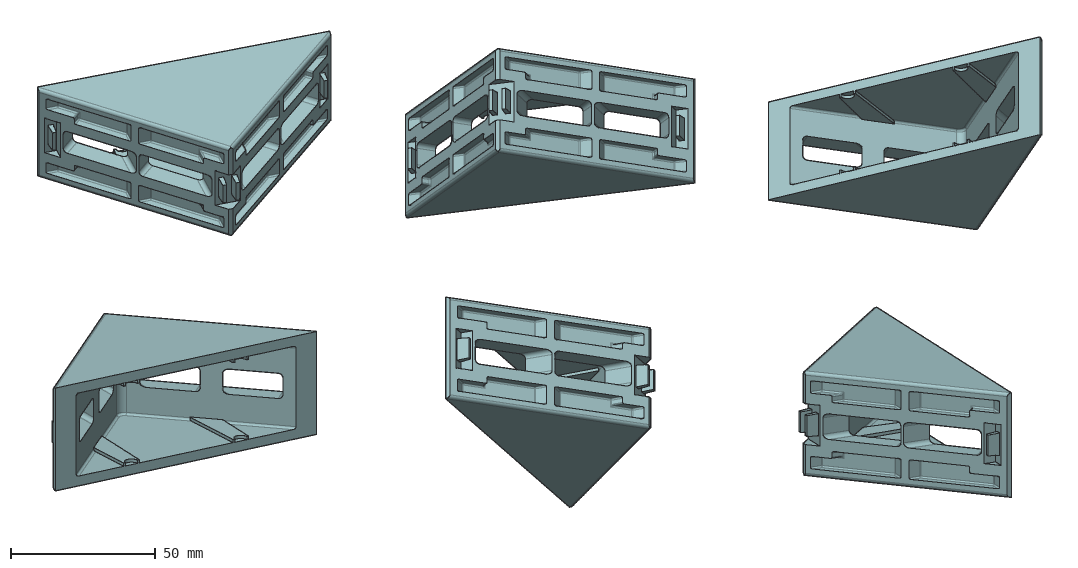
import cadquery as cq
import math

LEG = 76.1
HEIGHT = 38.0
EDGE_ROUND = 1.2
HYPOTENUSE = LEG + EDGE_ROUND
MIRROR_NORMAL = (1, 1, 0)

WALL = 7.1
CAVITY_HEIGHT = 30.7
CORNER_ROUND = 2.8
CAVITY_ROUND = 0.85

RIB_HEIGHT = 1.2
RIB_OFFSET = 22.2
RIB_TIP_WIDTH = 6.3
RIB_BASE_WIDTH = 8.75
RIB_BASE_DEPTH = 26.5
RIB_GROOVE_RADIUS = 2.4

SLOT_STARTS = (-65.5, -36.05)
SLOT_LENGTH = 28.4
SLOT_HEIGHT = 9.3
SLOT_ROUND = 1.6
SLOT_CLEARANCE = 0.8

RECESS_DEPTH = 3.1
POCKET_STARTS = (-72.2, -36.1)
POCKET_LENGTH = 33.1
POCKET_TOP = 16.0
POCKET_STEP_LEVEL = 11.5
POCKET_BOTTOM = 8.9
POCKET_STEP = 11.0
POCKET_ROUND = 0.55
POCKET_STEP_ROUND = 0.5

HOOK_STARTS = (-72.7, -6.5)
HOOK_RECESS_HEIGHT = 14.8
HOOK_OFFSET = 2.2
HOOK_THICKNESS = 1.95
HOOK_HEIGHT = 8.1
HOOK_TAPER = 4.0
HOOK_OVERHANG = 1.95
HOOK_LENGTH = (HOOK_OVERHANG * math.sqrt(2) + HOOK_OFFSET - HOOK_THICKNESS / 2) / (
    1 - math.tan(math.radians(HOOK_TAPER))
)


def plate(points, bottom, top):
    """Prism with the given XY outline between two Z levels."""
    return cq.Workplane("XY").workplane(offset=bottom).polyline(points).close().extrude(top - bottom)


def centred_plate(points, height):
    """Prism with the given XY outline, centred on z = 0."""
    return plate(points, -height / 2, height / 2)


def both_legs(shape):
    """The shape on the y = 0 leg together with its twin on the x = 0 leg."""
    return shape.union(shape.mirror(MIRROR_NORMAL))


def both_halves(shape):
    """The shape together with its twin below z = 0."""
    return shape.union(shape.mirror("XY"))


def make_body():
    block = cq.Workplane("XY").box(LEG, LEG, HEIGHT).translate((-LEG / 2, LEG / 2, 0))
    block = block.faces(">X or <Y").edges("#Z").fillet(EDGE_ROUND)
    bevel_start = LEG - EDGE_ROUND
    outline = [
        (-EDGE_ROUND, 0),
        (0, EDGE_ROUND),
        (0, bevel_start),
        (-EDGE_ROUND, LEG),
        (-LEG, EDGE_ROUND),
        (-bevel_start, 0),
    ]
    return block.intersect(centred_plate(outline, HEIGHT))


def make_cavity():
    outline = [(-WALL, WALL), (-WALL, HYPOTENUSE), (-HYPOTENUSE, HYPOTENUSE), (-HYPOTENUSE, WALL)]
    cavity = centred_plate(outline, CAVITY_HEIGHT)
    cavity = cavity.edges("|Z and >X and <Y").fillet(CORNER_ROUND)
    return cavity.faces("<Y or >X").edges("not |Z").fillet(CAVITY_ROUND)


def make_ribs():
    """Ribs drawn along the sloping face (local x) and into the part (local -y), then turned."""
    ribs = cq.Workplane("XY")
    base = CAVITY_HEIGHT / 2 - RIB_HEIGHT
    for centre in (-RIB_OFFSET, RIB_OFFSET):
        outline = [
            (centre - RIB_TIP_WIDTH / 2, 0),
            (centre + RIB_TIP_WIDTH / 2, 0),
            (centre + RIB_BASE_WIDTH / 2, -RIB_BASE_DEPTH),
            (centre - RIB_BASE_WIDTH / 2, -RIB_BASE_DEPTH),
        ]
        rib = plate(outline, base, HEIGHT / 2 - RIB_HEIGHT)
        groove = cq.Workplane("XY").center(centre, 0).circle(RIB_GROOVE_RADIUS).extrude(CAVITY_HEIGHT / 2)
        ribs = ribs.union(rib.cut(groove))
    ribs = ribs.rotate((0, 0, 0), (0, 0, 1), 45)
    return both_halves(ribs.translate((-HYPOTENUSE / 2, HYPOTENUSE / 2, 0)))


def make_slot(start):
    """Through slot, straight at its outer end and slanted 45 degrees at its inner end."""
    end = start + SLOT_LENGTH
    depth = WALL + SLOT_CLEARANCE
    slot = centred_plate([(start, 0), (end, 0), (end - depth, depth), (start, depth)], SLOT_HEIGHT)
    slot = slot.edges("|Y").fillet(SLOT_ROUND)
    return slot.edges(cq.selectors.ParallelDirSelector(cq.Vector(-1, 1, 0))).fillet(SLOT_ROUND)


def trapezoid(start, end, start_slant, end_slant, bottom, top):
    """Recess cutter whose ends shift by the given slants at full depth."""
    floor_start = start + start_slant
    floor_end = end + end_slant
    outline = [(start, 0), (end, 0), (floor_end, RECESS_DEPTH), (floor_start, RECESS_DEPTH)]
    return plate(outline, bottom, top)


def make_pocket(start, narrow_first):
    """Stepped pocket with rounded edges; the narrow end is the outer or the inner one."""
    end = start + POCKET_LENGTH
    pocket = trapezoid(start, end, RECESS_DEPTH, -RECESS_DEPTH, POCKET_STEP_LEVEL, POCKET_TOP)
    if narrow_first:
        step = start + POCKET_STEP
        wide = trapezoid(step, end, 0, -RECESS_DEPTH, POCKET_BOTTOM, POCKET_TOP)
    else:
        step = end - POCKET_STEP
        wide_end = step + RECESS_DEPTH
        wide = trapezoid(start, wide_end, RECESS_DEPTH, -RECESS_DEPTH, POCKET_BOTTOM, POCKET_TOP)
    pocket = pocket.union(wide).clean()
    step_zone = cq.selectors.BoxSelector(
        (step - RECESS_DEPTH, 0, POCKET_STEP_LEVEL - POCKET_ROUND),
        (step + RECESS_DEPTH, RECESS_DEPTH - POCKET_ROUND, POCKET_STEP_LEVEL + POCKET_ROUND),
    )
    pocket = pocket.edges(cq.selectors.SubtractSelector(cq.selectors.StringSyntaxSelector("not <Y"), step_zone))
    pocket = pocket.fillet(POCKET_ROUND)
    return pocket.edges(step_zone).fillet(POCKET_STEP_ROUND)


def make_hook_recess(start):
    """V groove with 45 degree sides; beside the corner it cuts the corner off."""
    width = 2 * RECESS_DEPTH
    if start + width < -WALL:
        outline = [(start, 0), (start + width, 0), (start + RECESS_DEPTH, RECESS_DEPTH)]
    else:
        outline = [(start, 0), (0, 0), (0, -start)]
    return centred_plate(outline, HOOK_RECESS_HEIGHT)


def make_hook(start):
    """Tapered hook standing square on the recess face that begins at the given x."""
    shift = HOOK_OFFSET * math.sqrt(0.5)
    root = cq.Plane(origin=(start + shift, shift, 0), xDir=(1, 1, 0), normal=(1, -1, 0))
    return cq.Workplane(root).rect(HOOK_THICKNESS, HOOK_HEIGHT).extrude(HOOK_LENGTH, taper=HOOK_TAPER)


result = make_body().cut(make_cavity().cut(make_ribs()))

for slot_start in SLOT_STARTS:
    result = result.cut(both_legs(make_slot(slot_start)))

for pocket_start in POCKET_STARTS:
    pocket = make_pocket(pocket_start, narrow_first=pocket_start == POCKET_STARTS[0])
    result = result.cut(both_legs(both_halves(pocket)))

for hook_start in HOOK_STARTS:
    result = result.cut(both_legs(make_hook_recess(hook_start)))
for hook_start in HOOK_STARTS:
    result = result.union(both_legs(make_hook(hook_start)))